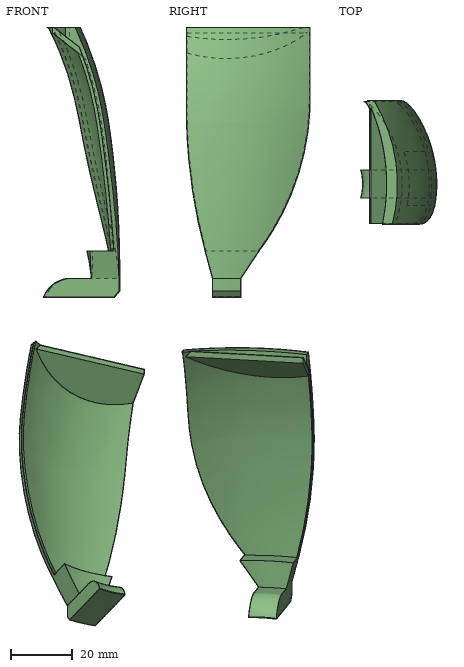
import cadquery as cq
import math

height = 87.1
foot_top = 6.1
block_top = 15.0
bend_height = 56.6
apex_height = 8.7

half_width = 19.985
neck_y = -7.0
foot_width = 9.1
block_y_min = -13.9
block_y_max = 3.5
curve_top_left = 64.4
curve_top_right = 60.95
left_radius = 82.7
right_radius = 176.8
liner_inset = 0.3

outer_x = 12.2
lower_radius = 321.3
upper_radius = 112.3
skin_thickness = 1.3
liner_thickness = 1.05
axis_x_low = -28.7
axis_x_high = -62.7
overshoot = 2.6

rim_inner_x = -4.0
rim_inner_radius = 62.7
shelf_slope = -0.78
shelf_low_z = 77.85
shelf_height = 2.2
shelf_tip_x = -9.5

block_inner_x = 3.3
foot_tip_x = -11.75
foot_tip_height = 0.3
foot_arc_start_x = -4.5
foot_arc_mid = (-9.05, 4.0)
foot_chamfer_x = 1.7
foot_chamfer_z = 2.1

outline_start_x = -17.4
far = 69.7


def slab(z_min, z_max):
    """Large box between two heights."""
    return cq.Workplane("XY").box(2 * far, 2 * far, z_max - z_min, centered=(True, True, False)).translate(
        (0, 0, z_min)
    )


def revolved_core(depth):
    """Solid inside the blade surface lying depth below the outer face."""
    lower_r = lower_radius - depth
    upper_r = upper_radius - depth
    lower_center_x = outer_x - lower_radius
    bend_angle = math.asin((bend_height - apex_height) / lower_radius)
    shift = lower_radius - upper_radius
    upper_center_x = lower_center_x + shift * math.cos(bend_angle)
    upper_center_z = apex_height + shift * math.sin(bend_angle)

    def lower_point(angle):
        return (lower_center_x + lower_r * math.cos(angle), apex_height + lower_r * math.sin(angle))

    def upper_point(angle):
        return (upper_center_x + upper_r * math.cos(angle), upper_center_z + upper_r * math.sin(angle))

    start_angle = math.asin((-overshoot - apex_height) / lower_r)
    end_angle = math.asin((height + overshoot - upper_center_z) / upper_r)
    axis_slope = (axis_x_high - axis_x_low) / (height - apex_height)

    def axis_point(z):
        return (axis_x_low + axis_slope * (z - apex_height), z)

    bottom = axis_point(-far / 2)
    top = axis_point(height + far / 2)
    profile = (
        cq.Workplane("XZ", origin=(0, neck_y, 0))
        .moveTo(*bottom)
        .lineTo(*lower_point(start_angle))
        .threePointArc(lower_point((start_angle + bend_angle) / 2), lower_point(bend_angle))
        .threePointArc(upper_point((bend_angle + end_angle) / 2), upper_point(end_angle))
        .lineTo(*top)
        .close()
    )
    return profile.revolve(360, bottom, top)


def side_point(edge_y, top_z, radius, z):
    """Point at height z on a side arc that starts vertical; the radius sign gives the bend direction."""
    drop = top_z - z
    inset = abs(radius) - math.sqrt(radius**2 - drop**2)
    return (edge_y - math.copysign(inset, radius), z)


def outline_prism(inset):
    """Blade outline in the YZ plane, extruded along X."""
    left_y = half_width - inset
    right_y = inset - half_width
    left_mid_z = (curve_top_left + block_top) / 2
    right_mid_z = (curve_top_right + block_top) / 2
    outline = (
        cq.Workplane("YZ", origin=(outline_start_x, 0, 0))
        .moveTo(left_y, height)
        .lineTo(left_y, curve_top_left)
        .threePointArc(
            side_point(left_y, curve_top_left, left_radius, left_mid_z), (block_y_max - inset, block_top)
        )
        .lineTo(neck_y + foot_width / 2 - inset, foot_top)
        .lineTo(neck_y - foot_width / 2 + inset, foot_top)
        .lineTo(block_y_min + inset, block_top)
        .threePointArc(
            side_point(right_y, curve_top_right, -right_radius, right_mid_z), (right_y, curve_top_right)
        )
        .lineTo(right_y, height)
        .close()
    )
    return outline.extrude(2 * far)


def above_slope(z_at_origin):
    """Everything above the sloping shelf plane that crosses x = 0 at the given height."""
    rise = -shelf_slope * far
    corners = [
        (-far, z_at_origin + rise),
        (far, z_at_origin - rise),
        (far, height + 2 * far),
        (-far, height + 2 * far),
    ]
    return cq.Workplane("XZ", origin=(0, far, 0)).polyline(corners).close().extrude(2 * far)


def vertical_cylinder(outer_face_x, radius):
    """Upright cylinder whose largest x is outer_face_x at the neck."""
    return (
        cq.Workplane("XY", origin=(outer_face_x - radius, neck_y, -overshoot))
        .circle(radius)
        .extrude(height + 2 * overshoot)
    )


def make_foot():
    """Toe profile revolved about the upright lower axis and trimmed to the foot width."""
    profile = (
        cq.Workplane("XZ", origin=(0, neck_y, 0))
        .moveTo(foot_tip_x, 0)
        .lineTo(outer_x - foot_chamfer_x, 0)
        .lineTo(outer_x, foot_chamfer_z)
        .lineTo(outer_x, foot_top)
        .lineTo(foot_arc_start_x, foot_top)
        .threePointArc(foot_arc_mid, (foot_tip_x, foot_tip_height))
        .close()
    )
    ring = profile.revolve(360, (axis_x_low, 0), (axis_x_low, 1))
    strip = cq.Workplane("XY").box(far, foot_width, foot_top, centered=(False, True, False))
    return ring.intersect(strip.translate((foot_tip_x - overshoot, neck_y, 0)))


outer_core = revolved_core(0)
skin_core = revolved_core(skin_thickness)
liner_core = revolved_core(skin_thickness + liner_thickness)
wide_outline = outline_prism(0)
narrow_outline = outline_prism(liner_inset)
above_shelf = above_slope(shelf_low_z + shelf_height)
shelf_zone = above_slope(shelf_low_z).cut(above_shelf)
blade_zone = outer_core.intersect(wide_outline)

skin = blade_zone.cut(skin_core)

liner = skin_core.cut(liner_core).intersect(narrow_outline).intersect(slab(block_top, height)).cut(above_shelf)

shelf_front = cq.Workplane("XY").box(far, 2 * far, height, centered=(False, True, False)).translate(
    (shelf_tip_x, 0, 0)
)
shelf = skin_core.intersect(narrow_outline).intersect(shelf_zone).intersect(shelf_front)

rim = blade_zone.intersect(above_shelf).cut(vertical_cylinder(rim_inner_x, rim_inner_radius))

block = blade_zone.intersect(slab(foot_top, block_top)).cut(
    vertical_cylinder(block_inner_x, block_inner_x - axis_x_low)
)

result = skin.union(liner).union(shelf).union(rim).union(block).union(make_foot())